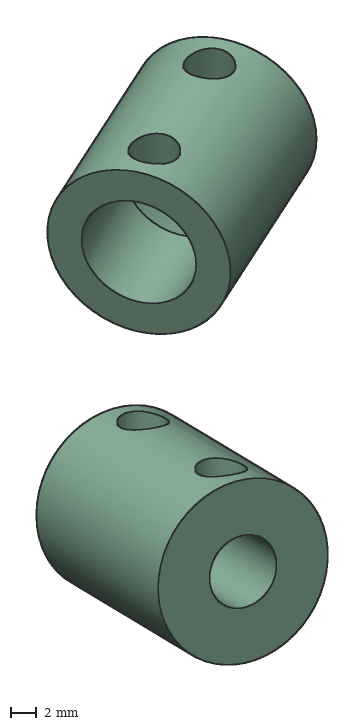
import math

import cadquery as cq

length = 19.05
outer_diameter = 15.24

wide_bore_diameter = 9.52
narrow_bore_diameter = 6.0
wide_bore_depth = length / 2
drill_point_angle = 118.0

screw_hole_diameter = 4.05
screw_hole_end_distance = 3.43

front_y = -length / 2
back_y = length / 2


def make_sleeve():
    """Revolve the wall section about the Y axis."""
    outer_radius = outer_diameter / 2
    wide_radius = wide_bore_diameter / 2
    narrow_radius = narrow_bore_diameter / 2
    cone_length = (wide_radius - narrow_radius) / math.tan(math.radians(drill_point_angle / 2))
    cone_start_y = front_y + wide_bore_depth
    wall_section = [
        (wide_radius, front_y),
        (outer_radius, front_y),
        (outer_radius, back_y),
        (narrow_radius, back_y),
        (narrow_radius, cone_start_y + cone_length),
        (wide_radius, cone_start_y),
    ]
    return cq.Workplane("XY").polyline(wall_section).close().revolve(360, (0, 0), (0, 1))


def make_screw_holes():
    """Cutters running from the sleeve axis up through the top wall."""
    hole_centers = [
        (0, front_y + screw_hole_end_distance),
        (0, back_y - screw_hole_end_distance),
    ]
    return (
        cq.Workplane("XY")
        .pushPoints(hole_centers)
        .circle(screw_hole_diameter / 2)
        .extrude(outer_diameter / 2)
    )


result = make_sleeve().cut(make_screw_holes())